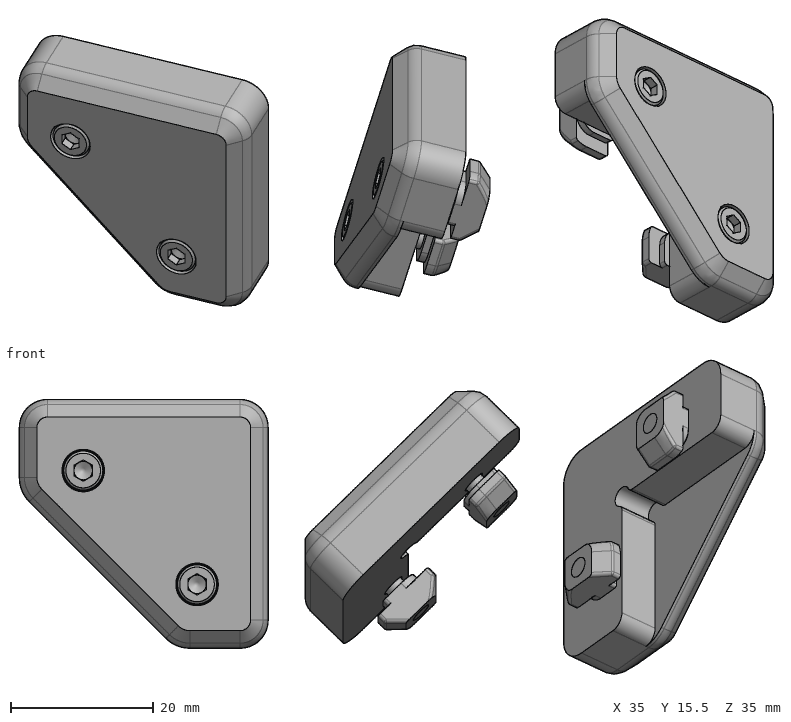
import cadquery as cq
import math


tolerance = 0.005

side = 35.0
overall_depth = 15.5
cover_depth = 10.0
flange_depth = 4.0
outer_corner_radius = 4.0
front_chamfer = 2.5
front_blend_radius = 2.5
arm_width = 13.0
arm_end_radius = 2.0
relief_radius = 1.5
relief_blend_radius = 1.0
arm_inner = side - arm_width
square_corners = [(0, side), (side, side), (side, 0)]
arm_end_corners = [(0, arm_inner), (arm_inner, 0)]
diagonal_corner_radius = arm_end_radius / math.tan(math.radians(22.5))

screw_edge_distance = 10.0
screw_end_distance = 9.0
counterbore_diameter = 6.0
counterbore_floor_bevel = 0.15
clearance_diameter = 3.4
head_diameter = 5.5
head_height = 3.0
head_chamfer = 0.3
shank_diameter = 3.0
hex_across_flats = 2.6
hex_depth = 1.3
socket_cone_half_angle = 60.0

nut_width = 6.02
nut_length = 10.2
boss_depth = 1.0
boss_corner_radius = 2.5
wing_depth = 3.5
wing_bevel = 2.1
wing_arc_radius = 4.4
wing_arc_start = 1.0
nut_edge_radius = 0.5
nut_depth = boss_depth + wing_depth
nut_front = overall_depth - nut_depth

screw_spots = [
    (screw_end_distance, side - screw_edge_distance, 0),
    (side - screw_edge_distance, screw_end_distance, 90),
]


def plane_at(depth):
    """Workplane facing the front, with local axes X and Z, at the given Y."""
    return cq.Workplane("XZ", origin=(0, depth, 0))


def prism(sketch, depth):
    """Extrude a sketch on a front-facing plane towards +Y."""
    return sketch.extrude(-depth)


def round_corners(body, corners, radius):
    """Fillet the edges that run along Y at the given (X, Z) corners."""
    middle = body.val().BoundingBox().center.y
    for x, z in corners:
        body = body.edges("|Y").edges(cq.NearestToPointSelector((x, middle, z))).fillet(radius)
    return body


def make_flange():
    outline = [(0, arm_inner), (0, side), (side, side), (side, 0), (arm_inner, 0)]
    flange = prism(plane_at(0).polyline(outline).close(), flange_depth)
    flange = round_corners(flange, square_corners, outer_corner_radius)
    flange = round_corners(flange, arm_end_corners, diagonal_corner_radius)
    flange = flange.faces("<Y").chamfer(front_chamfer)
    chamfer_start = cq.selectors.BoxSelector(
        (-tolerance, front_chamfer - tolerance, -tolerance),
        (side + tolerance, front_chamfer + tolerance, side + tolerance),
        boundingbox=True,
    )
    return flange.edges(chamfer_start).fillet(front_blend_radius)


def make_arms():
    depth = cover_depth - flange_depth
    outline = [(0, arm_inner), (0, side), (side, side), (side, 0), (arm_inner, 0), (arm_inner, arm_inner)]
    arms = prism(plane_at(flange_depth).polyline(outline).close(), depth)
    arms = round_corners(arms, square_corners, outer_corner_radius)
    arms = round_corners(arms, arm_end_corners, arm_end_radius)
    arms = arms.cut(prism(plane_at(flange_depth).center(arm_inner, arm_inner).circle(relief_radius), depth))
    relief_corners = [(arm_inner - relief_radius, arm_inner), (arm_inner, arm_inner - relief_radius)]
    return round_corners(arms, relief_corners, relief_blend_radius)


def make_cover():
    cover = make_flange().union(make_arms())
    spots = [(x, z) for x, z, turn in screw_spots]
    counterbores = prism(plane_at(0).pushPoints(spots).circle(counterbore_diameter / 2), head_height)
    cover = cover.cut(counterbores.faces(">Y").chamfer(counterbore_floor_bevel))
    return cover.cut(prism(plane_at(0).pushPoints(spots).circle(clearance_diameter / 2), cover_depth))


def make_screw():
    """Hex socket cap screw on the Y axis, its head flush with Y = 0."""
    head = prism(plane_at(0).circle(head_diameter / 2), head_height).faces("<Y").chamfer(head_chamfer)
    shank = prism(plane_at(0).circle(shank_diameter / 2), overall_depth)
    hex_diameter = hex_across_flats / math.cos(math.radians(30))
    socket = prism(plane_at(0).transformed(rotate=(0, 0, 90)).polygon(6, hex_diameter), hex_depth)
    cone_radius = hex_across_flats / 2
    cone_height = cone_radius / math.tan(math.radians(socket_cone_half_angle))
    cone = cq.Workplane(
        cq.Solid.makeCone(cone_radius, 0, cone_height, pnt=cq.Vector(0, hex_depth, 0), dir=cq.Vector(0, 1, 0))
    )
    return head.union(shank).cut(socket).cut(cone)


def make_wing():
    """Long part of the nut: two opposite corners swept round, both ends bevelled to the back."""
    half_width = nut_width / 2
    half_length = nut_length / 2
    reach = wing_arc_start + wing_arc_radius
    swing = half_length - wing_arc_radius
    diagonal = wing_arc_radius * math.sqrt(0.5)
    swept = prism(
        plane_at(0)
        .moveTo(-reach, half_length)
        .lineTo(wing_arc_start, half_length)
        .threePointArc((wing_arc_start + diagonal, swing + diagonal), (reach, swing))
        .lineTo(reach, -half_length)
        .lineTo(-wing_arc_start, -half_length)
        .threePointArc((-wing_arc_start - diagonal, -swing - diagonal), (-reach, -swing))
        .close(),
        wing_depth,
    )
    swept = swept.faces(">Y").chamfer(wing_bevel)
    wing = swept.intersect(prism(plane_at(0).rect(nut_width, nut_length), wing_depth))

    def is_rounded(edge):
        """True for edges off the flat front and back that are not arc tangent lines."""
        box = edge.BoundingBox()
        on_flat = box.ylen < tolerance and (box.ymin < tolerance or box.ymax > wing_depth - tolerance)
        on_tangent_line = box.xlen < tolerance and abs(abs(box.center.x) - wing_arc_start) < tolerance
        return not (on_flat or on_tangent_line)

    rounded_edges = [edge for edge in wing.edges().vals() if is_rounded(edge)]
    return wing.newObject(rounded_edges).fillet(nut_edge_radius)


def make_nut():
    """T-nut along Z with its boss face at Y = 0 and a hole for the screw shank."""
    boss = prism(plane_at(0).rect(nut_width, nut_width), boss_depth)
    half_width = nut_width / 2
    swept_corners = [(half_width, half_width), (-half_width, -half_width)]
    plain_corners = [(-half_width, half_width), (half_width, -half_width)]
    boss = round_corners(boss, swept_corners, boss_corner_radius)
    boss = round_corners(boss, plain_corners, nut_edge_radius)
    nut = boss.union(make_wing().translate((0, boss_depth, 0)))
    return nut.cut(prism(plane_at(0).circle(shank_diameter / 2), nut_depth))


def place(body, x, z, turn=0, depth=0):
    """Turn a body about Y, anticlockwise from the front, then move it into place."""
    return body.rotate((0, 0, 0), (0, 1, 0), -turn).translate((x, depth, z))


cover = make_cover()
screws = [place(make_screw(), x, z) for x, z, turn in screw_spots]
nuts = [place(make_nut(), x, z, turn, nut_front) for x, z, turn in screw_spots]
result = cq.Compound.makeCompound([cover.val(), *[s.val() for s in screws], *[n.val() for n in nuts]])